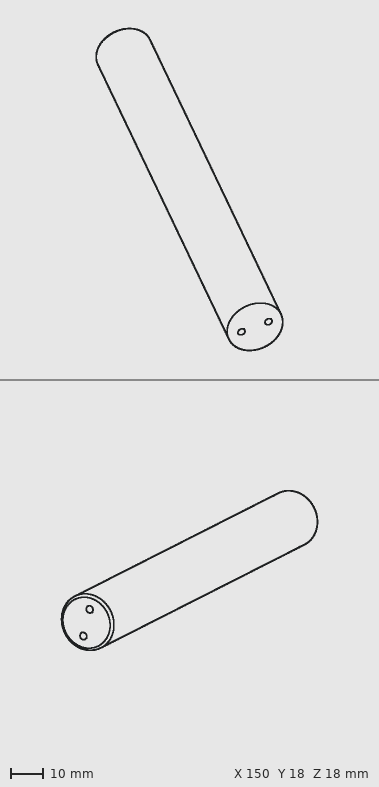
import cadquery as cq

length = 150.0
diameter = 18.0
end_chamfer = 0.9

hole_diameter = 2.3
hole_spacing = 9.0
hole_pair_tilt = 14.0
helix_pitch = 200.0


def round_bar():
    bar = cq.Workplane("YZ").circle(diameter / 2).extrude(length)
    return bar.faces("<X").chamfer(end_chamfer)


def coolant_holes():
    """Two round sections twisted together along the bar, right-handed about +X."""
    twist = 360 * length / helix_pitch
    first_hole_angle = 90 + hole_pair_tilt
    return (
        cq.Workplane("YZ")
        .polarArray(hole_spacing / 2, first_hole_angle, 360, 2)
        .circle(hole_diameter / 2)
        .twistExtrude(length, twist)
    )


result = round_bar().cut(coolant_holes())